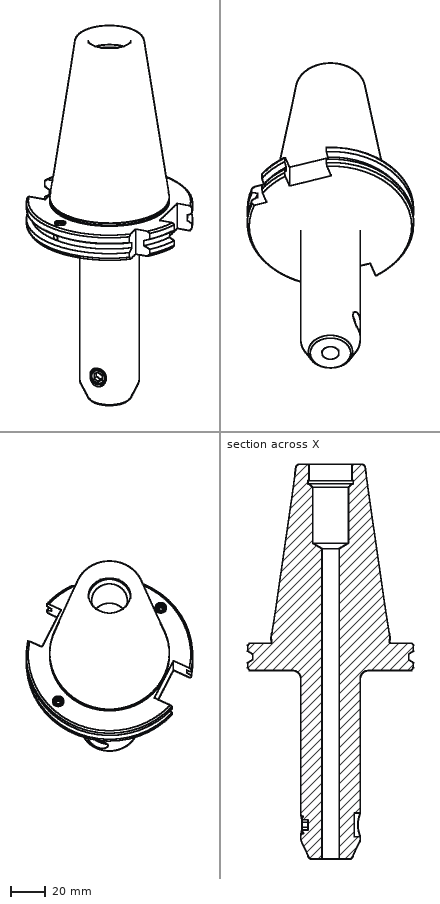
import cadquery as cq
import math

total_length = 231.8
bore_radius = 4.98

gauge_height = 130.0
gauge_radius = 35.0
taper_slope = 7 / 48
taper_tip_round = 2.5
taper_end_radius = gauge_radius - (total_length - gauge_height) * taper_slope
taper_foot_height = 128.9
taper_foot_radius = gauge_radius + (gauge_height - taper_foot_height) * taper_slope
neck_depth = 0.5
neck_radius = taper_foot_radius - neck_depth

flange_top = 126.8
flange_bottom = 110.5
flange_diameter = 97.5
flange_radius = flange_diameter / 2
flange_edge_chamfer = 1.2
flange_lower_chamfer_height = 1.9
groove_height = 118.7
groove_floor_radius = 46.0
groove_floor_width = 3.2
groove_flank_angle = 30.0
groove_depth = flange_radius - groove_floor_radius
groove_mouth_width = groove_floor_width + 2 * groove_depth * math.tan(math.radians(groove_flank_angle))

slot_width = 25.7
slot_floor_left = -35.5
slot_floor_right = 37.8
notch_edge = 29.7

shank_radius = 17.5
shank_fillet = 4.6
nose_height = 11.0
nose_radius = 13.0
nose_chamfer = 1.2
nose_shoulder_round = 1.9

pilot_radius = 12.5
pilot_mouth_round = 1.5
pilot_depth = 11.5
relief_width = 1.9
relief_depth = 0.7
thread_radius = 10.5
thread_depth = 46.4
drill_point_angle = 59.0
pilot_cone_depth = pilot_radius - thread_radius
drill_point_depth = (thread_radius - bore_radius) / math.tan(math.radians(drill_point_angle))

clamp_height = 20.2
clamp_screw_radius = 4.98
clamp_countersink = 1.0
clamp_screw_recess = 0.7
clamp_hex_size = 5.0
clamp_hex_depth = 3.5
balance_spot_radius = 6.84
balance_spot_depth = 3.5

chamfer_angle = 45.0

coolant_angle = 20.0
coolant_circle_radius = 42.0
coolant_screw_radius = 2.5
coolant_countersink = 0.7
coolant_screw_recess = 1.0
coolant_hex_size = 2.5
coolant_hex_depth = 2.3
outlet_radius = 1.6


def turned_body():
    """Solid of revolution: nose, shank, flange and taper."""
    half_floor = groove_floor_width / 2
    half_mouth = groove_mouth_width / 2
    rim = flange_radius - flange_edge_chamfer
    fillet_mid = shank_fillet * (1 - math.sqrt(0.5))
    profile = (
        cq.Workplane("XZ")
        .lineTo(nose_radius - nose_chamfer, 0)
        .lineTo(nose_radius, nose_chamfer)
        .lineTo(shank_radius, nose_height)
        .lineTo(shank_radius, flange_bottom - shank_fillet)
        .threePointArc(
            (shank_radius + fillet_mid, flange_bottom - fillet_mid),
            (shank_radius + shank_fillet, flange_bottom),
        )
        .lineTo(rim, flange_bottom)
        .lineTo(flange_radius, flange_bottom + flange_lower_chamfer_height)
        .lineTo(flange_radius, groove_height - half_mouth)
        .lineTo(groove_floor_radius, groove_height - half_floor)
        .lineTo(groove_floor_radius, groove_height + half_floor)
        .lineTo(flange_radius, groove_height + half_mouth)
        .lineTo(flange_radius, flange_top - flange_edge_chamfer)
        .lineTo(rim, flange_top)
        .lineTo(taper_foot_radius, flange_top)
        .lineTo(neck_radius, flange_top + neck_depth)
        .lineTo(neck_radius, taper_foot_height - neck_depth)
        .lineTo(taper_foot_radius, taper_foot_height)
        .lineTo(taper_end_radius, total_length)
        .lineTo(0, total_length)
        .close()
    )
    body = profile.revolve(360, (0, 0), (0, 1))
    body = body.faces(">Z").edges().fillet(taper_tip_round)
    shoulder_circle = cq.selectors.NearestToPointSelector((0, 0, nose_height))
    return body.edges(shoulder_circle).fillet(nose_shoulder_round)


def axial_bore():
    """Stepped bore: rounded pilot with floor relief, thread core, drill point, through bore."""
    pilot_floor = total_length - pilot_depth
    thread_floor = total_length - thread_depth
    mouth_mid = pilot_mouth_round * (1 - math.sqrt(0.5))
    return (
        cq.Workplane("XZ")
        .lineTo(bore_radius, 0)
        .lineTo(bore_radius, thread_floor - drill_point_depth)
        .lineTo(thread_radius, thread_floor)
        .lineTo(thread_radius, pilot_floor - pilot_cone_depth)
        .lineTo(pilot_radius, pilot_floor)
        .lineTo(pilot_radius + relief_depth, pilot_floor)
        .lineTo(pilot_radius + relief_depth, pilot_floor + relief_width)
        .lineTo(pilot_radius, pilot_floor + relief_width)
        .lineTo(pilot_radius, total_length - pilot_mouth_round)
        .threePointArc(
            (pilot_radius + mouth_mid, total_length - mouth_mid),
            (pilot_radius + pilot_mouth_round, total_length),
        )
        .lineTo(0, total_length)
        .close()
        .revolve(360, (0, 0), (0, 1))
    )


def flange_cutouts():
    """Two unequal drive slots and the corner notch, through the whole flange."""
    thickness = flange_top - flange_bottom
    reach = flange_radius

    def block(x_start, y_start, x_size, y_size):
        corner = (x_start, y_start, flange_bottom)
        return cq.Workplane("XY", origin=corner).box(x_size, y_size, thickness, centered=False)

    left = block(slot_floor_left - reach, -slot_width / 2, reach, slot_width)
    right = block(slot_floor_right, -slot_width / 2, reach, slot_width)
    notch = block(notch_edge, -notch_edge - reach, reach, reach)
    return left.union(right).union(notch)


def screw_recess(plane, radius, countersink, recess, hex_size, hex_depth):
    """Space left open above a seated socket screw: countersunk mouth,
    ring around the chamfered screw end and hexagon socket."""
    mouth = cq.Workplane(plane).circle(radius + countersink).extrude(-countersink, taper=chamfer_angle)
    gap = cq.Workplane(plane).circle(radius).extrude(-recess - countersink)
    screw_end = (
        cq.Workplane(plane)
        .workplane(offset=-recess - countersink)
        .circle(radius)
        .extrude(countersink, taper=chamfer_angle)
    )
    hex_diameter = hex_size / math.cos(math.pi / 6)
    socket = cq.Workplane(plane).polygon(6, hex_diameter).extrude(-recess - hex_depth)
    return mouth.union(gap).cut(screw_end).union(socket)


def clamp_recess():
    plane = cq.Plane(origin=(0, -shank_radius, clamp_height), xDir=(0, 0, 1), normal=(0, -1, 0))
    return screw_recess(
        plane, clamp_screw_radius, clamp_countersink, clamp_screw_recess, clamp_hex_size, clamp_hex_depth
    )


def balance_spot():
    """Flat-bottomed round spot opposite the clamping screw."""
    return (
        cq.Workplane("XZ", origin=(0, shank_radius - balance_spot_depth, clamp_height))
        .circle(balance_spot_radius)
        .extrude(-2 * balance_spot_depth)
    )


def coolant_recess():
    """Screw recess in the flange top and the small radial outlet in the groove, on the +Y side."""
    plane = cq.Plane(origin=(0, coolant_circle_radius, flange_top), xDir=(1, 0, 0), normal=(0, 0, 1))
    recess = screw_recess(
        plane, coolant_screw_radius, coolant_countersink, coolant_screw_recess,
        coolant_hex_size, coolant_hex_depth,
    )
    outlet = (
        cq.Workplane("XZ", origin=(0, coolant_circle_radius, groove_height))
        .circle(outlet_radius)
        .extrude(-(flange_radius - coolant_circle_radius))
    )
    return recess.union(outlet)


result = turned_body().cut(axial_bore()).cut(flange_cutouts())
result = result.cut(clamp_recess()).cut(balance_spot())
for half_turn in (0, 180):
    result = result.cut(coolant_recess().rotate((0, 0, 0), (0, 0, 1), half_turn - coolant_angle))